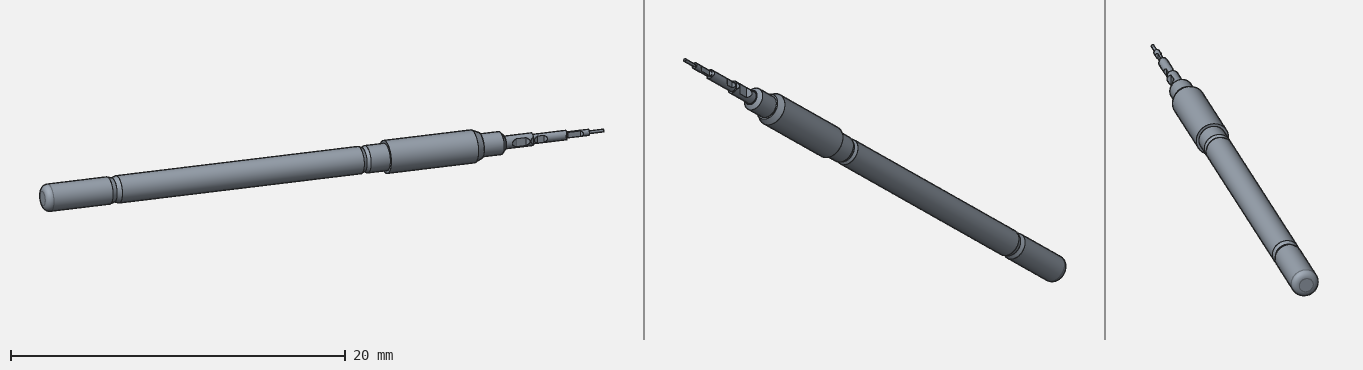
import cadquery as cq

LENGTH = 36.0

HANDLE_RADIUS = 0.83
TAIL_FILLET = 0.4
FRONT_GROOVE_FROM_TIP = 15.45
REAR_GROOVE_FROM_TIP = 31.5
FRONT_GROOVE_WIDTH = 0.44
REAR_GROOVE_WIDTH = 0.6
GROOVE_DEPTH = 0.1

COLLAR_RADIUS = 1.0
COLLAR_REAR_FROM_TIP = 14.0
COLLAR_FRONT_FROM_TIP = 8.4
COLLAR_TAPER_LENGTH = 0.45
COLLAR_FRONT_RADIUS = 0.8
NOSE_RADIUS = 0.7
NOSE_FRONT_FROM_TIP = 6.4
NOSE_CHAMFER = 0.24

NEEDLE_STEPS = [
    (0.09, 0.95),
    (0.19, 2.4),
    (0.29, 4.6),
    (0.39, NOSE_FRONT_FROM_TIP),
]

FIRST_RELIEF = (1.35, 1.5, 2.3, 2.5)
SECOND_RELIEF = (3.7, 3.9, 4.3, 4.8)
THIRD_RELIEF = (4.85, 5.1, 5.7, 6.0)
FIRST_HALF_THICKNESS = 0.08
SECOND_HALF_THICKNESS = 0.19
THIRD_LEFT_HALF_THICKNESS = 0.2
THIRD_RIGHT_HALF_THICKNESS = 0.3


def from_tip(distance):
    """Y position of a point the given distance behind the needle tip."""
    return LENGTH - distance


def cylinder(radius, front, rear):
    """Cylinder on the Y axis between two distances behind the tip."""
    return cq.Workplane("XZ", origin=(0, from_tip(front), 0)).circle(radius).extrude(rear - front)


def handle():
    """Long rod with a rounded tail."""
    rod = cylinder(HANDLE_RADIUS, COLLAR_REAR_FROM_TIP, LENGTH)
    return rod.faces("<Y").edges().fillet(TAIL_FILLET)


def groove(center, width):
    """V-shaped ring to be removed from the handle."""
    center_y = from_tip(center)
    return (
        cq.Workplane("XY")
        .moveTo(HANDLE_RADIUS - GROOVE_DEPTH, center_y)
        .lineTo(HANDLE_RADIUS, center_y - width / 2)
        .lineTo(COLLAR_RADIUS, center_y - width / 2)
        .lineTo(COLLAR_RADIUS, center_y + width / 2)
        .lineTo(HANDLE_RADIUS, center_y + width / 2)
        .close()
        .revolve(360, (0, 0, 0), (0, 1, 0))
    )


def collar_and_nose():
    """Collar with a tapered front shoulder, and the chamfered nose ahead of it."""
    taper_front = COLLAR_FRONT_FROM_TIP - COLLAR_TAPER_LENGTH
    return (
        cq.Workplane("XY")
        .moveTo(0, from_tip(COLLAR_REAR_FROM_TIP))
        .lineTo(COLLAR_RADIUS, from_tip(COLLAR_REAR_FROM_TIP))
        .lineTo(COLLAR_RADIUS, from_tip(COLLAR_FRONT_FROM_TIP))
        .lineTo(COLLAR_FRONT_RADIUS, from_tip(taper_front))
        .lineTo(NOSE_RADIUS, from_tip(taper_front))
        .lineTo(NOSE_RADIUS, from_tip(NOSE_FRONT_FROM_TIP + NOSE_CHAMFER))
        .lineTo(NOSE_RADIUS - NOSE_CHAMFER, from_tip(NOSE_FRONT_FROM_TIP))
        .lineTo(0, from_tip(NOSE_FRONT_FROM_TIP))
        .close()
        .revolve(360, (0, 0, 0), (0, 1, 0))
    )


def stepped_needle():
    """Coaxial cylinders growing in radius from the tip to the nose."""
    needle = None
    front = 0.0
    for radius, rear in NEEDLE_STEPS:
        step = cylinder(radius, front, rear)
        needle = step if needle is None else needle.union(step)
        front = rear
    return needle


def relief(stations, front_radius, rear_radius, half_thickness, side):
    """Ramped flat cut on one side of the needle (side = 1 for +X, -1 for -X)."""
    ramp_start, floor_start, floor_end, ramp_end = stations
    outside = side * COLLAR_RADIUS
    return (
        cq.Workplane("XY")
        .moveTo(outside, from_tip(ramp_start))
        .lineTo(side * front_radius, from_tip(ramp_start))
        .lineTo(side * half_thickness, from_tip(floor_start))
        .lineTo(side * half_thickness, from_tip(floor_end))
        .lineTo(side * rear_radius, from_tip(ramp_end))
        .lineTo(outside, from_tip(ramp_end))
        .close()
        .extrude(COLLAR_RADIUS, both=True)
    )


def needle_with_reliefs():
    """Stepped needle with its opposed side flats."""
    second_radius, third_radius, fourth_radius = [step[0] for step in NEEDLE_STEPS[1:]]
    needle = stepped_needle()
    third_thicknesses = {-1: THIRD_LEFT_HALF_THICKNESS, 1: THIRD_RIGHT_HALF_THICKNESS}
    for side, third_half_thickness in third_thicknesses.items():
        needle = needle.cut(relief(FIRST_RELIEF, second_radius, third_radius, FIRST_HALF_THICKNESS, side))
        needle = needle.cut(relief(SECOND_RELIEF, third_radius, fourth_radius, SECOND_HALF_THICKNESS, side))
        needle = needle.cut(relief(THIRD_RELIEF, fourth_radius, fourth_radius, third_half_thickness, side))
    return needle


grooved_handle = (
    handle()
    .cut(groove(FRONT_GROOVE_FROM_TIP, FRONT_GROOVE_WIDTH))
    .cut(groove(REAR_GROOVE_FROM_TIP, REAR_GROOVE_WIDTH))
)
result = grooved_handle.union(collar_and_nose()).union(needle_with_reliefs())